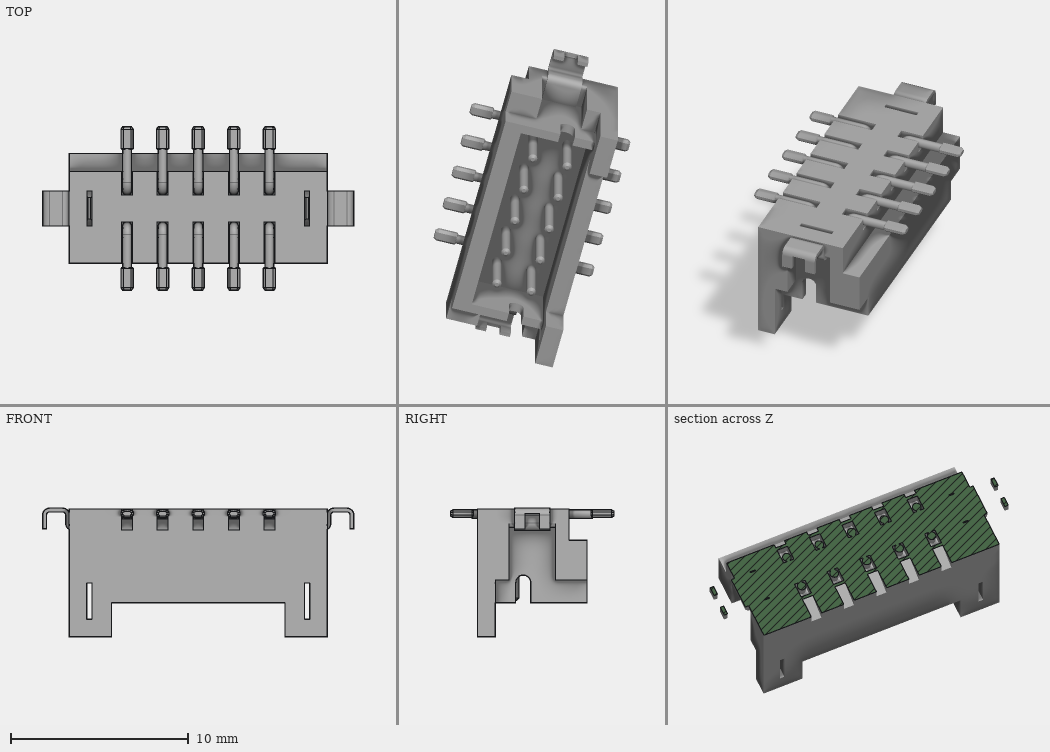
import cadquery as cq
import math


body_width = 14.5
body_depth = 6.18
body_bottom = -5.28
wall = 1.02
rear_step_drop = 1.75
leg_width = 2.38
leg_bottom = -7.2

slot_width = 0.28
slot_inset = 1.0
leg_slot_top = -4.16
leg_slot_length = 2.03

recess_depth = slot_inset + slot_width
recess_width = 2.6
recess_ceiling = -1.03
recess_lip_radius = 0.2
recess_shoulder = -4.0

cavity_ceiling = -2.0
end_wall = 0.5
arch_width = 0.84
arch_top = -3.73
arch_offset_y = -0.5

pin_count = 5
pin_row_length = 8.0
pin_pitch = pin_row_length / (pin_count - 1)
pin_diameter = 0.5
pin_axis_z = -0.3
pin_tip_span = 9.2
pin_bend_y = 1.47
pin_bend_radius = 0.47
pin_bottom = -5.15
pin_end_chamfer = 0.14
pocket_width = 0.61
pocket_depth = 1.17
pocket_end_y = 0.77
pocket_ramp_end_y = 1.65
pocket_ramp_height = 0.61

head_width = 0.7
head_height = 0.45
head_bevel = 0.14
head_length = 1.22
head_axis_z = -0.26
head_tip_length = 0.15
head_tip_inset = 0.1
head_neck_length = 0.07

clip_span = 17.5
clip_width = 1.98
clip_thickness = 0.23
clip_top = 0.05
clip_bottom = -1.2
clip_prong_bottom = -1.12
clip_bend_radius = 0.4
clip_inner_face_gap = 1.3
clip_blade_top = -0.3
clip_blade_chamfer = 0.38
clip_blade_bevel = 0.07
clip_notch_width = 0.8
clip_notch_top = -0.26

front_y = -body_depth / 2
back_y = body_depth / 2
end_x = body_width / 2


def block(x0, x1, y0, y1, z0, z1):
    """Box between two opposite corners."""
    return cq.Workplane("XY").box(x1 - x0, y1 - y0, z1 - z0, centered=False).translate((x0, y0, z0))


def both_ends(shape):
    """The shape and its mirror image at the other end of the housing."""
    return shape.union(shape.mirror("YZ"))


def both_rows(shape):
    """The shape and its mirror image in the other pin row."""
    return shape.union(shape.mirror("XZ"))


def housing():
    body = block(-end_x, end_x, front_y, back_y, body_bottom, 0)
    leg = block(-end_x, -end_x + leg_width, front_y, front_y + wall, leg_bottom, body_bottom)
    rear_step = block(-end_x, end_x, back_y - wall, back_y, -rear_step_drop, 0)
    return body.union(both_ends(leg)).cut(rear_step)


def end_recess():
    half = recess_width / 2
    inner_x = -end_x + recess_depth
    stem = block(-end_x, inner_x, -half, half, body_bottom, recess_ceiling)
    foot = block(-end_x, inner_x, front_y + wall, back_y, body_bottom, recess_shoulder)
    lip = block(-end_x, -end_x + recess_lip_radius, -half, half,
                recess_ceiling, recess_ceiling + recess_lip_radius)
    lip_round = (
        cq.Workplane("XZ", origin=(0, half, 0))
        .center(-end_x + recess_lip_radius, recess_ceiling + recess_lip_radius)
        .circle(recess_lip_radius)
        .extrude(recess_width)
    )
    return both_ends(stem.union(foot).union(lip.cut(lip_round)))


def cavity():
    half_length = end_x - recess_depth - end_wall
    half_depth = body_depth / 2 - wall
    return block(-half_length, half_length, -half_depth, half_depth, body_bottom, cavity_ceiling)


def arch_notch():
    radius = arch_width / 2
    spring_z = arch_top - radius
    return (
        cq.Workplane("YZ", origin=(-end_x, arch_offset_y, 0))
        .moveTo(-radius, body_bottom)
        .lineTo(-radius, spring_z)
        .threePointArc((0, arch_top), (radius, spring_z))
        .lineTo(radius, body_bottom)
        .close()
        .extrude(body_width)
    )


def slots():
    x0 = -end_x + slot_inset
    x1 = x0 + slot_width
    top_slot = block(x0, x1, -clip_width / 2, clip_width / 2, recess_ceiling, 0)
    leg_slot = block(x0, x1, front_y, back_y, leg_slot_top - leg_slot_length, leg_slot_top)
    return both_ends(top_slot.union(leg_slot))


def pin_pocket(x):
    """Open-ended pockets of both rows, each with a floor that ramps up towards the pin bend."""
    outline = [
        (front_y, 0),
        (front_y, -pocket_depth),
        (-pocket_ramp_end_y, -pocket_depth + pocket_ramp_height),
        (-pocket_ramp_end_y, -pocket_depth),
        (-pocket_end_y, -pocket_depth),
        (-pocket_end_y, 0),
    ]
    plane = cq.Workplane("YZ", origin=(x - pocket_width / 2, 0, 0))
    return both_rows(plane.polyline(outline).close().extrude(pocket_width))


def head_outline(plane):
    return plane.polyline([
        (-head_width / 2, -head_height / 2 + head_bevel),
        (-head_width / 2 + head_bevel, -head_height / 2),
        (head_width / 2 - head_bevel, -head_height / 2),
        (head_width / 2, -head_height / 2 + head_bevel),
        (head_width / 2, head_height / 2 - head_bevel),
        (head_width / 2 - head_bevel, head_height / 2),
        (-head_width / 2 + head_bevel, head_height / 2),
        (-head_width / 2, head_height / 2 - head_bevel),
    ]).close()


def pin_head(x):
    """Octagonal head with a tapered tip and a short tapered neck."""
    tip_y = -pin_tip_span / 2
    taper_start = cq.Workplane("XZ", origin=(x, tip_y + head_tip_length, head_axis_z))
    head_end = cq.Workplane("XZ", origin=(x, tip_y + head_length, head_axis_z))
    tip_angle = math.degrees(math.atan2(head_tip_inset, head_tip_length))
    tip = head_outline(taper_start).extrude(head_tip_length, taper=tip_angle)
    barrel = head_outline(head_end).extrude(head_length - head_tip_length)
    neck = head_outline(head_end).extrude(-head_neck_length, taper=45)
    return barrel.union(tip).union(neck)


def pin(x):
    """Round pin: a horizontal tail, a right-angle bend and a vertical contact."""
    radius = pin_diameter / 2
    tail_start_y = -pin_tip_span / 2 + head_length
    contact_y = -pin_bend_y + pin_bend_radius
    contact_top = pin_axis_z - pin_bend_radius
    diagonal = pin_bend_radius * math.sqrt(0.5)
    bend_middle = (-pin_bend_y + diagonal, contact_top + diagonal)
    path = (
        cq.Workplane("YZ", origin=(x, 0, 0))
        .moveTo(tail_start_y, pin_axis_z)
        .lineTo(-pin_bend_y, pin_axis_z)
        .threePointArc(bend_middle, (contact_y, contact_top))
        .lineTo(contact_y, pin_bottom)
    )
    rod = cq.Workplane("XZ", origin=(x, tail_start_y, pin_axis_z)).circle(radius).sweep(path)
    rod = rod.faces("<Z").chamfer(pin_end_chamfer)
    return both_rows(rod.union(pin_head(x)))


def clip():
    """Hooked strip that curls under the recess ceiling and ends in a blade inside the top slot."""
    line = clip_thickness / 2
    bend = clip_bend_radius - line
    outer_x = -clip_span / 2 + line
    inner_x = -clip_span / 2 + clip_inner_face_gap + line
    blade_x = -end_x + slot_inset
    top_z = clip_top - line
    bottom_z = clip_bottom + line
    back = bend * (1 - math.sqrt(0.5))
    path = (
        cq.Workplane("XZ")
        .moveTo(outer_x, clip_prong_bottom)
        .lineTo(outer_x, top_z - bend)
        .threePointArc((outer_x + back, top_z - back), (outer_x + bend, top_z))
        .lineTo(inner_x - bend, top_z)
        .threePointArc((inner_x - back, top_z - back), (inner_x, top_z - bend))
        .lineTo(inner_x, bottom_z + bend)
        .threePointArc((inner_x + back, bottom_z + back), (inner_x + bend, bottom_z))
        .lineTo(blade_x, bottom_z)
    )
    start = cq.Workplane("XY", origin=(outer_x, 0, clip_prong_bottom))
    strip = start.rect(clip_thickness, clip_width).sweep(path)
    blade = block(blade_x, blade_x + slot_width, -clip_width / 2, clip_width / 2,
                  clip_bottom, clip_blade_top)
    blade = blade.edges("|X and >Z").chamfer(clip_blade_chamfer)
    blade = blade.faces(">Z").edges("|Y").chamfer(clip_blade_bevel)
    notch = block(-clip_span / 2, -clip_span / 2 + clip_thickness,
                  -clip_notch_width / 2, clip_notch_width / 2, clip_prong_bottom, clip_notch_top)
    return both_ends(strip.cut(notch).union(blade))


result = housing().cut(end_recess()).cut(cavity()).cut(arch_notch()).cut(slots())

pin_places = [(i - (pin_count - 1) / 2) * pin_pitch for i in range(pin_count)]
for pin_x in pin_places:
    result = result.cut(pin_pocket(pin_x))
for pin_x in pin_places:
    result = result.union(pin(pin_x))

result = result.union(clip())